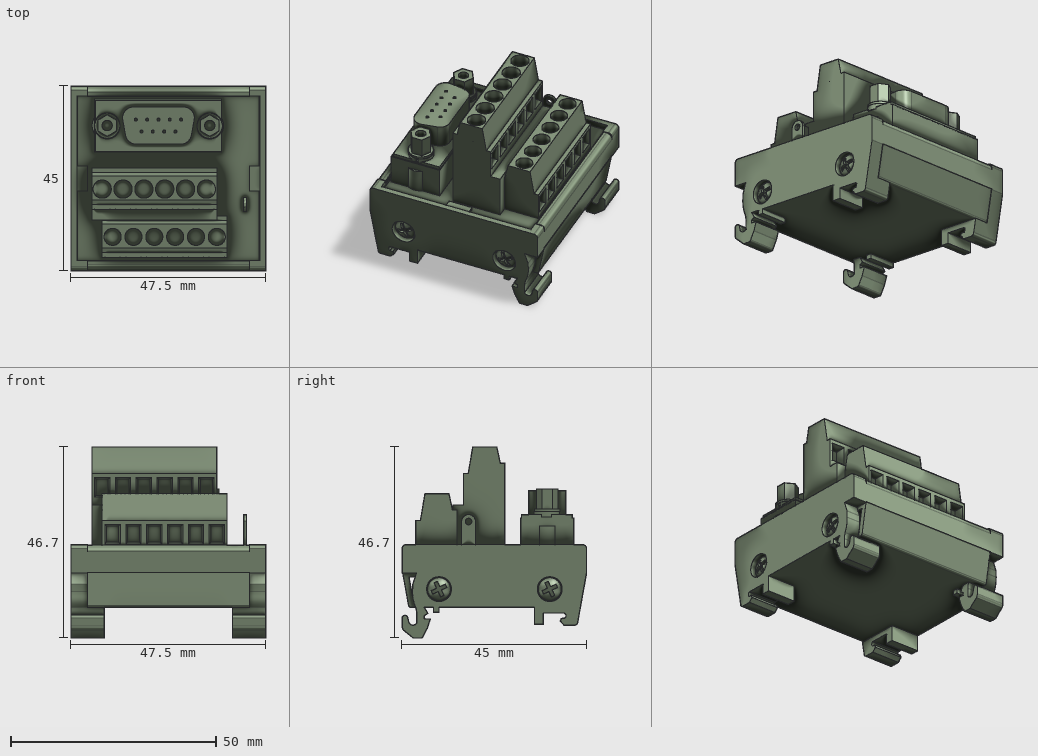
import cadquery as cq
import math


LENGTH = 47.5
DEPTH = 45.0
HALF_LENGTH = LENGTH / 2
HALF_DEPTH = DEPTH / 2
PLATE_THICKNESS = 3.98
FOOT_WIDTH = 8.15
CHANNEL_HALF_LENGTH = HALF_LENGTH - PLATE_THICKNESS
RIM_Z = 22.83
RIM_FILLET = 1.0
BREAK_Z = 15.9
FLOOR_Z = 7.5

CHANNEL_TOP_Z = 22.7
LIP_FILLET = 1.55
LIP_STEP_Y = 20.15
LEDGE_INNER_Y = 19.95
LEDGE_HEIGHT = 0.7
CHANNEL_BREAK_Z = 16.05
WALL_STEP = 0.1
WALL_BOTTOM_Y = 20.85
WALL_THICKNESS = 1.4
CAVITY_TOP_Z = 14.9
FLOOR_FILLET = 0.6

BOARD_TOP_Z = 21.42
BOARD_THICKNESS = 1.6
RECESS_HALF_LENGTH = 22.32
RECESS_HALF_DEPTH = 20.05
BOARD_GAP = 0.2
TAB_HEIGHT = 0.7
TAB_WIDTH = 6.15

SCREW_Y = 13.5
SCREW_Z = 11.97
SCREW_HOLE_DIAMETER = 6.05
SCREW_HOLE_DEPTH = 1.8
SCREW_HEAD_DIAMETER = 5.6
SCREW_HEAD_HEIGHT = 1.4
SCREW_RIM_HEIGHT = 0.5
CROSS_LENGTH = 3.8
CROSS_WIDTH = 0.9
CROSS_DEPTH = 1.0
CROSS_ANGLE = -25

WAYS = 6
PITCH = 5.08
TERMINAL_LENGTH = WAYS * PITCH
LOW_CENTER_X = -0.9
LOW_TOP_Z = 35.25
LOW_FRONT_Y = -19.2
TIER_SHIFT_X = -PITCH / 2
TIER_SHIFT_Y = 11.65
TIER_SHIFT_Z = 11.42
TERMINAL_DEPTH = 10.1
TERMINAL_TOP_FRONT = 2.25
TERMINAL_TOP_BACK = 8.15
FRONT_STEP = 1.15
BACK_STEP = 1.1
FRONT_STEP_DROP = 6.5
BACK_STEP_DROP = 3.97
PLINTH_DEPTH = 2.55
PLINTH_TOP_Z = 32.5
LOW_HOLE_DIAMETER = 4.15
HIGH_HOLE_DIAMETER = 4.45
HOLE_CENTER_FROM_FRONT = 4.96
HOLE_DEPTH = 5.0
WIRE_WIDTH = 3.75
WIRE_HEIGHT = 4.75
WIRE_CENTER_DROP = 9.85
WIRE_DEPTH = 2.4
WIRE_NARROWING = 0.4

DSUB_X = -2.42
DSUB_Y = 12.9
DSUB_LENGTH = 31.0
DSUB_DEPTH = 13.0
DSUB_BODY_TOP_Z = 29.35
FLANGE_LENGTH = 30.7
BODY_SHIFT_X = -0.15
FLANGE_SHIFT_Y = -0.1
FLANGE_DEPTH = 12.45
FLANGE_TOP_Z = 30.1
SHELL_TOP_Z = 36.0
SHELL_BACK_HALF = 9.25
SHELL_DEPTH = 9.06
SHELL_SLOPE = math.radians(10)
SHELL_FILLET = 2.6
BACK_CONTACTS = 5
FRONT_CONTACTS = 4
CONTACT_PITCH = 2.76
CONTACT_ROW_GAP = 2.9
CONTACT_DIAMETER = 0.7
CONTACT_DEPTH = 5.0
JACK_SPACING = 25.0
JACK_POST_DIAMETER = 7.05
JACK_POST_TOP_Z = 27.4
WASHER_DIAMETER = 6.2
LOCK_WASHER_TOP_Z = 30.95
LOCK_WASHER_SHIFT = -0.15
LOCK_WASHER_GAP = 0.5
LOCK_WASHER_GAP_Y = -0.4
WASHER_TOP_Z = 31.5
HEX_SIDES = 6
HEX_ACROSS_FLATS = 4.57
HEX_TOP_Z = 36.4
JACK_HOLE_DIAMETER = 2.5
JACK_HOLE_DEPTH = 4.0

LUG_X = 18.7
LUG_Y = -6.3
LUG_THICKNESS = 0.7
LUG_WIDTH = 3.4
LUG_TOP_Z = 30.15
LUG_HOLE_DIAMETER = 1.6

EMBED = 0.5


def block(length, depth, bottom, top, x=0.0, y=0.0):
    """Box centred at (x, y) between two heights."""
    return cq.Workplane("XY").box(length, depth, top - bottom, (True, True, False)).translate((x, y, bottom))


def disc(diameter, bottom, top, x, y):
    """Upright cylinder between two heights."""
    return cq.Workplane("XY").circle(diameter / 2).extrude(top - bottom).translate((x, y, bottom))


def prism_along_x(outline, half_length):
    """Extrude a YZ outline symmetrically about X = 0."""
    return outline.extrude(half_length, both=True)


def mirrored(points):
    """Close a half outline by reflecting it across Y = 0."""
    return points + [(-y, z) for y, z in reversed(points)]


def channel():
    """Hollow carrier between the end plates."""
    step_y = HALF_DEPTH - WALL_STEP
    outer = mirrored([
        (WALL_BOTTOM_Y, FLOOR_Z),
        (step_y, CHANNEL_BREAK_Z),
        (HALF_DEPTH, CHANNEL_BREAK_Z),
        (HALF_DEPTH, CHANNEL_TOP_Z),
        (LIP_STEP_Y, CHANNEL_TOP_Z),
        (LIP_STEP_Y, BOARD_TOP_Z + LEDGE_HEIGHT),
        (LEDGE_INNER_Y, BOARD_TOP_Z + LEDGE_HEIGHT),
        (LEDGE_INNER_Y, BOARD_TOP_Z),
    ])
    body = prism_along_x(cq.Workplane("YZ").polyline(outer).close(), CHANNEL_HALF_LENGTH)
    for side in (-1, 1):
        lip_edge = cq.selectors.NearestToPointSelector((0, side * HALF_DEPTH, CHANNEL_TOP_Z))
        body = body.edges(lip_edge).fillet(LIP_FILLET)
        floor_edge = cq.selectors.NearestToPointSelector((0, side * WALL_BOTTOM_Y, FLOOR_Z))
        body = body.edges(floor_edge).fillet(FLOOR_FILLET)

    slope = (step_y - WALL_BOTTOM_Y) / (CHANNEL_BREAK_Z - FLOOR_Z)
    inner_bottom_z = FLOOR_Z + WALL_THICKNESS
    inner = mirrored([
        (WALL_BOTTOM_Y + slope * WALL_THICKNESS - WALL_THICKNESS, inner_bottom_z),
        (WALL_BOTTOM_Y + slope * (CAVITY_TOP_Z - FLOOR_Z) - WALL_THICKNESS, CAVITY_TOP_Z),
    ])
    return body.cut(prism_along_x(cq.Workplane("YZ").polyline(inner).close(), CHANNEL_HALF_LENGTH))


def end_plate_outline():
    """YZ outline of an end plate with its fixed rail foot (back) and sprung rail hook (front)."""
    top_tangent = HALF_DEPTH - RIM_FILLET
    diagonal = HALF_DEPTH - RIM_FILLET * (1 - math.sqrt(0.5))
    diagonal_z = RIM_Z - RIM_FILLET * (1 - math.sqrt(0.5))
    return (
        cq.Workplane("YZ")
        .moveTo(-top_tangent, RIM_Z)
        .lineTo(top_tangent, RIM_Z)
        .threePointArc((diagonal, diagonal_z), (HALF_DEPTH, RIM_Z - RIM_FILLET))
        .lineTo(HALF_DEPTH, BREAK_Z)
        .lineTo(20.35, 4.0)
        .threePointArc((20.05, 3.35), (19.5, 3.15))
        .lineTo(17.0, 3.15)
        .lineTo(16.05, 4.15)
        .lineTo(16.3, 4.85)
        .lineTo(17.1, 4.9)
        .threePointArc((17.45, 5.5), (17.0, 6.1))
        .lineTo(11.95, 6.1)
        .lineTo(11.95, 3.35)
        .lineTo(9.75, 3.35)
        .lineTo(9.75, FLOOR_Z)
        .lineTo(-13.45, FLOOR_Z)
        .lineTo(-13.45, 6.3)
        .lineTo(-14.85, 6.3)
        .lineTo(-14.85, FLOOR_Z)
        .lineTo(-17.05, FLOOR_Z)
        .lineTo(-16.2, 6.05)
        .lineTo(-17.05, 5.5)
        .lineTo(-17.05, 4.75)
        .lineTo(-15.6, 4.7)
        .lineTo(-16.3, 2.5)
        .lineTo(-17.4, 0.4)
        .threePointArc((-17.6, 0.1), (-17.9, 0.0))
        .lineTo(-19.75, 0.0)
        .lineTo(-22.2, 2.0)
        .threePointArc((-22.43, 2.45), (-HALF_DEPTH, 2.95))
        .lineTo(-HALF_DEPTH, 4.95)
        .threePointArc((-21.85, 5.6), (-21.1, 4.95))
        .lineTo(-20.9, 4.2)
        .threePointArc((-19.9, 3.2), (-18.95, 3.7))
        .lineTo(-18.95, 5.9)
        .threePointArc((-19.02, 6.7), (-19.2, FLOOR_Z))
        .threePointArc((-19.8, 9.4), (-20.0, 11.4))
        .lineTo(-19.9, 13.2)
        .lineTo(-19.0, BREAK_Z)
        .lineTo(-HALF_DEPTH, BREAK_Z)
        .lineTo(-HALF_DEPTH, RIM_Z - RIM_FILLET)
        .threePointArc((-diagonal, diagonal_z), (-top_tangent, RIM_Z))
        .close()
    )


def end_plates():
    """Both end plates; below the housing the feet are wider than the plates."""
    full = prism_along_x(end_plate_outline(), HALF_LENGTH)
    above = block(2 * CHANNEL_HALF_LENGTH, 2 * DEPTH, FLOOR_Z, RIM_Z)
    below = block(LENGTH - 2 * FOOT_WIDTH, 2 * DEPTH, 0, FLOOR_Z)
    recess_bottom = BOARD_TOP_Z - BOARD_THICKNESS
    recess = block(2 * RECESS_HALF_LENGTH, 2 * RECESS_HALF_DEPTH, recess_bottom, RIM_Z)
    return full.cut(above).cut(below).cut(recess)


def board():
    """Circuit board with a small air gap at both ends, and the two tabs that hold it."""
    board_half = RECESS_HALF_LENGTH - BOARD_GAP
    plate = block(2 * board_half, 2 * RECESS_HALF_DEPTH, BOARD_TOP_Z - BOARD_THICKNESS, BOARD_TOP_Z)
    tab_length = RECESS_HALF_LENGTH - CHANNEL_HALF_LENGTH
    tab_x = (RECESS_HALF_LENGTH + CHANNEL_HALF_LENGTH) / 2
    for side in (-1, 1):
        tab = block(tab_length, TAB_WIDTH, BOARD_TOP_Z, BOARD_TOP_Z + TAB_HEIGHT, side * tab_x)
        plate = plate.union(tab)
    return plate


def screw_hole():
    """Blind hole running along +X from the origin."""
    return cq.Workplane("YZ").circle(SCREW_HOLE_DIAMETER / 2).extrude(SCREW_HOLE_DEPTH)


def screw_head():
    """Domed cross-recess head standing on the bottom of a screw hole."""
    radius = SCREW_HEAD_DIAMETER / 2
    rise = SCREW_HEAD_HEIGHT - SCREW_RIM_HEIGHT
    sphere_radius = (radius ** 2 + rise ** 2) / (2 * rise)
    apex_x = SCREW_HOLE_DEPTH - SCREW_HEAD_HEIGHT
    cylinder = cq.Workplane("YZ").circle(radius).extrude(SCREW_HEAD_HEIGHT + EMBED).translate((apex_x, 0, 0))
    dome = cq.Workplane("XY").sphere(sphere_radius).translate((apex_x + sphere_radius, 0, 0))
    head = cylinder.intersect(dome)
    for angle in (CROSS_ANGLE, CROSS_ANGLE + 90):
        slot = cq.Workplane("XY").box(2 * CROSS_DEPTH, CROSS_LENGTH, CROSS_WIDTH)
        head = head.cut(slot.rotate((0, 0, 0), (1, 0, 0), angle).translate((apex_x, 0, 0)))
    return head


def add_screws(body):
    """Two recessed screws in each end plate."""
    for turn in (0, 180):
        for y in (-SCREW_Y, SCREW_Y):
            place = (-HALF_LENGTH, y, SCREW_Z)
            hole = screw_hole().translate(place).rotate((0, 0, 0), (0, 0, 1), turn)
            head = screw_head().translate(place).rotate((0, 0, 0), (0, 0, 1), turn)
            body = body.cut(hole).union(head)
    return body


def terminal_block(center_x, front_y, top_z, hole_diameter):
    """Six-way block with tapered crown, screw wells on top and wire pockets in front."""
    base_z = BOARD_TOP_Z - EMBED
    front_step_z = top_z - FRONT_STEP_DROP
    back_step_z = top_z - BACK_STEP_DROP
    outline = [
        (front_y, base_z),
        (front_y, front_step_z),
        (front_y + FRONT_STEP, front_step_z),
        (front_y + TERMINAL_TOP_FRONT, top_z),
        (front_y + TERMINAL_TOP_BACK, top_z),
        (front_y + TERMINAL_DEPTH - BACK_STEP, back_step_z),
        (front_y + TERMINAL_DEPTH, back_step_z),
        (front_y + TERMINAL_DEPTH, base_z),
    ]
    body = prism_along_x(cq.Workplane("YZ").polyline(outline).close(), TERMINAL_LENGTH / 2)
    body = body.translate((center_x, 0, 0))
    taper = math.degrees(math.atan(WIRE_NARROWING / WIRE_DEPTH))
    for way in range(WAYS):
        x = center_x + (way - (WAYS - 1) / 2) * PITCH
        well = disc(hole_diameter, top_z - HOLE_DEPTH, top_z, x, front_y + HOLE_CENTER_FROM_FRONT)
        pocket = (
            cq.Workplane("XZ")
            .rect(WIRE_WIDTH, WIRE_HEIGHT)
            .extrude(-WIRE_DEPTH, taper=taper)
            .translate((x, front_y, top_z - WIRE_CENTER_DROP))
        )
        body = body.cut(well).cut(pocket)
    return body


def terminals():
    """Low front block, and high back block with a plinth at its foot."""
    low = terminal_block(LOW_CENTER_X, LOW_FRONT_Y, LOW_TOP_Z, LOW_HOLE_DIAMETER)
    high_x = LOW_CENTER_X + TIER_SHIFT_X
    high_front_y = LOW_FRONT_Y + TIER_SHIFT_Y
    high = terminal_block(high_x, high_front_y, LOW_TOP_Z + TIER_SHIFT_Z, HIGH_HOLE_DIAMETER)
    plinth_y = high_front_y - PLINTH_DEPTH / 2
    plinth = block(TERMINAL_LENGTH, PLINTH_DEPTH, BOARD_TOP_Z - EMBED, PLINTH_TOP_Z, high_x, plinth_y)
    return low.union(plinth).union(high)


def dsub_shell():
    """D-shaped shell with nine contact holes in two rows."""
    front_half = SHELL_BACK_HALF - SHELL_DEPTH * math.tan(SHELL_SLOPE)
    half_depth = SHELL_DEPTH / 2
    corners = [
        (-SHELL_BACK_HALF, half_depth),
        (SHELL_BACK_HALF, half_depth),
        (front_half, -half_depth),
        (-front_half, -half_depth),
    ]
    height = SHELL_TOP_Z - FLANGE_TOP_Z + EMBED
    shell = cq.Workplane("XY").polyline(corners).close().extrude(height).edges("|Z").fillet(SHELL_FILLET)
    shell = shell.translate((DSUB_X, DSUB_Y, FLANGE_TOP_Z - EMBED))
    for count, row_y in ((BACK_CONTACTS, CONTACT_ROW_GAP / 2), (FRONT_CONTACTS, -CONTACT_ROW_GAP / 2)):
        for index in range(count):
            x = DSUB_X + (index - (count - 1) / 2) * CONTACT_PITCH
            bottom = SHELL_TOP_Z - CONTACT_DEPTH
            shell = shell.cut(disc(CONTACT_DIAMETER, bottom, SHELL_TOP_Z, x, DSUB_Y + row_y))
    return shell


def jack_screw(x):
    """Hexagonal jack screw on a plain washer and a split lock washer."""
    lock_y = DSUB_Y + LOCK_WASHER_SHIFT
    lock = disc(WASHER_DIAMETER, FLANGE_TOP_Z - EMBED, LOCK_WASHER_TOP_Z, x, lock_y)
    gap_x = x - WASHER_DIAMETER / 2
    gap_y = DSUB_Y + LOCK_WASHER_GAP_Y
    gap_length = WASHER_DIAMETER - HEX_ACROSS_FLATS
    lock = lock.cut(block(gap_length, LOCK_WASHER_GAP, FLANGE_TOP_Z, LOCK_WASHER_TOP_Z, gap_x, gap_y))
    washer = disc(WASHER_DIAMETER, LOCK_WASHER_TOP_Z, WASHER_TOP_Z, x, DSUB_Y)
    hexagon = cq.Workplane("XY").polygon(HEX_SIDES, HEX_ACROSS_FLATS / math.cos(math.pi / HEX_SIDES))
    nut = hexagon.extrude(HEX_TOP_Z - WASHER_TOP_Z).rotate((0, 0, 0), (0, 0, 1), 180 / HEX_SIDES)
    nut = nut.translate((x, DSUB_Y, WASHER_TOP_Z))
    bore = disc(JACK_HOLE_DIAMETER, HEX_TOP_Z - JACK_HOLE_DEPTH, HEX_TOP_Z, x, DSUB_Y)
    return lock.union(washer).union(nut).cut(bore)


def dsub():
    """D-sub connector standing on the board."""
    base_z = BOARD_TOP_Z - EMBED
    body = block(DSUB_LENGTH, DSUB_DEPTH, base_z, DSUB_BODY_TOP_Z, DSUB_X + BODY_SHIFT_X, DSUB_Y)
    flange_y = DSUB_Y + FLANGE_SHIFT_Y
    flange = block(FLANGE_LENGTH, FLANGE_DEPTH, DSUB_BODY_TOP_Z, FLANGE_TOP_Z, DSUB_X, flange_y)
    body = body.union(flange).union(dsub_shell())
    for side in (-1, 1):
        x = DSUB_X + side * JACK_SPACING / 2
        body = body.union(disc(JACK_POST_DIAMETER, base_z, JACK_POST_TOP_Z, x + BODY_SHIFT_X, DSUB_Y))
        body = body.union(jack_screw(x))
    return body


def test_lug():
    """Thin upright lug with a rounded top and a cross hole."""
    radius = LUG_WIDTH / 2
    center_z = LUG_TOP_Z - radius
    outline = (
        cq.Workplane("YZ")
        .moveTo(-radius, BOARD_TOP_Z - EMBED)
        .lineTo(-radius, center_z)
        .threePointArc((0, LUG_TOP_Z), (radius, center_z))
        .lineTo(radius, BOARD_TOP_Z - EMBED)
        .close()
    )
    lug = prism_along_x(outline, LUG_THICKNESS / 2)
    hole = cq.Workplane("YZ").center(0, center_z).circle(LUG_HOLE_DIAMETER / 2)
    return lug.cut(prism_along_x(hole, LUG_THICKNESS)).translate((LUG_X, LUG_Y, 0))


housing = add_screws(channel().union(end_plates()))
result = housing.union(board()).union(terminals()).union(dsub()).union(test_lug())